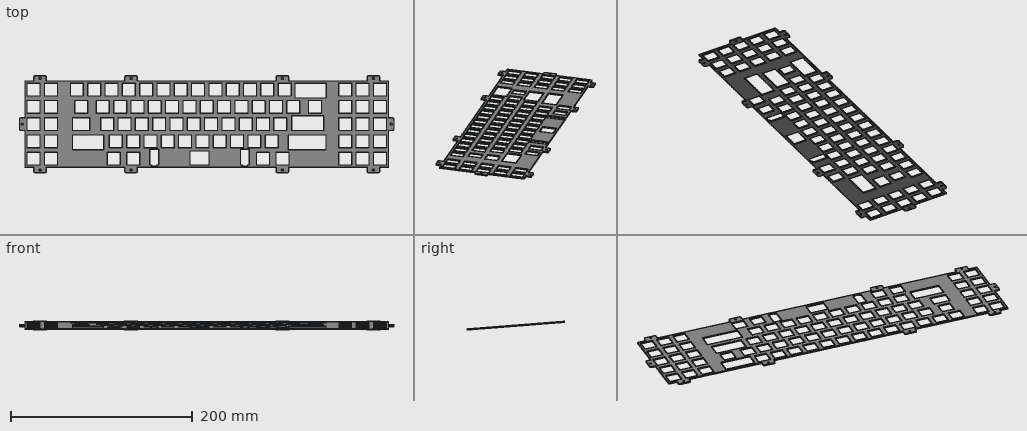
import cadquery as cq

GRID_COLUMNS = 21
GRID_ROWS = 5
TOTAL_WIDTH = 412
PLATE_WIDTH = 400.0
PITCH = PLATE_WIDTH / GRID_COLUMNS
PLATE_DEPTH = GRID_ROWS * PITCH
THICKNESS = 1.5
TILT = 4.5

KEY_OPENING = 14.0

TAB_REACH = (TOTAL_WIDTH - PLATE_WIDTH) / 2
TAB_WIDTH = 14.0
TAB_CORNER = 1.5
TAB_X = (-183.5, -83.2, 83.2, 183.5)
SCREW_HOLE = 2.0
SCREW_OFFSET = 3.0

BLOCK_START = 2.5
BLOCK_ROWS = [
    [1] * 13 + [2],
    [1.5] + [1] * 12 + [1.5],
    [1.75] + [1] * 11 + [2.25],
    [2.25] + [1] * 10 + [2.75],
    [2.125, 1, 1.25, 6.25, 1.25, 1, 2.125],
]
BLANKS = [(4, 0), (4, 6)]
SPACE_BAR = (4, 3)

SIDE_COLUMNS = (0.5, 1.5, 18.5, 19.5, 20.5)

STABILIZER_RELIEF = 2.0
SPACE_RELIEF = 1.2
SPACE_SHIFT = 1.5
LARGE_OPENINGS = {
    (0, 13): (34.0, 0, 0, STABILIZER_RELIEF),
    (2, 0): (18.5, -2.5, 0, 0),
    (2, 12): (35.0, -1.0, STABILIZER_RELIEF, 0),
    (3, 0): (34.0, 0.5, 0, STABILIZER_RELIEF),
    (3, 11): (41.0, 3.5, 0, STABILIZER_RELIEF),
    SPACE_BAR: (20.5, SPACE_SHIFT, SPACE_RELIEF, 0),
}

SLOT_SPREAD = 50.0
SLOT_WIDTH = 9.5
SLOT_REAR = 10.5
SLOT_FRONT = 7.0
TONGUE_WIDTH = 5.5
TONGUE_REACH = 1.2


def column_x(column):
    """X of a place given in key spaces from the left edge."""
    return column * PITCH - PLATE_WIDTH / 2


def row_y(row):
    """Y of the centre of a key row, row 0 at the rear."""
    return PLATE_DEPTH / 2 - (row + 0.5) * PITCH


def block(x, y, width, depth):
    """Box through the full plate thickness, centred on x, y."""
    return cq.Workplane("XY").box(width, depth, THICKNESS).translate((x, y, 0))


def screw_tab(x, y, direction_angle):
    """Rounded tab on the plate edge at x, y; it points along +Y turned about Z by direction_angle."""
    hole = cq.Workplane("XY").center(0, SCREW_OFFSET).circle(SCREW_HOLE / 2).extrude(THICKNESS, both=True)
    tab = block(0, TAB_REACH / 2, TAB_WIDTH, TAB_REACH)
    tab = tab.edges("|Z and >Y").fillet(TAB_CORNER).cut(hole)
    return tab.rotate((0, 0, 0), (0, 0, 1), direction_angle).translate((x, y, 0))


def side_openings():
    openings = []
    for row in range(GRID_ROWS):
        for column in SIDE_COLUMNS:
            openings.append(block(column_x(column), row_y(row), KEY_OPENING, KEY_OPENING))
    return openings


def key_center_x(row, place):
    """X of the centre of a key in the key block."""
    widths = BLOCK_ROWS[row]
    return column_x(BLOCK_START + sum(widths[:place]) + widths[place] / 2)


def block_openings():
    openings = []
    for row, widths in enumerate(BLOCK_ROWS):
        for place in range(len(widths)):
            if (row, place) in BLANKS:
                continue
            width, shift, rear, front = LARGE_OPENINGS.get((row, place), (KEY_OPENING, 0, 0, 0))
            x = key_center_x(row, place) + shift
            y = row_y(row) + (rear - front) / 2
            openings.append(block(x, y, width, KEY_OPENING + rear + front))
    return openings


def stabilizer_slots():
    slots = []
    y = row_y(SPACE_BAR[0])
    tongue_front = SLOT_FRONT + TONGUE_REACH
    for side in (-1, 1):
        x = key_center_x(*SPACE_BAR) + SPACE_SHIFT + side * SLOT_SPREAD
        slots.append(block(x, y + (SLOT_REAR - SLOT_FRONT) / 2, SLOT_WIDTH, SLOT_REAR + SLOT_FRONT))
        slots.append(block(x, y - tongue_front / 2, TONGUE_WIDTH, tongue_front))
    return slots


plate = block(0, 0, PLATE_WIDTH, PLATE_DEPTH)
for tab_x in TAB_X:
    plate = plate.union(screw_tab(tab_x, PLATE_DEPTH / 2, 0))
    plate = plate.union(screw_tab(tab_x, -PLATE_DEPTH / 2, 180))
plate = plate.union(screw_tab(-PLATE_WIDTH / 2, 0, 90))
plate = plate.union(screw_tab(PLATE_WIDTH / 2, 0, -90))

for opening in side_openings() + block_openings() + stabilizer_slots():
    plate = plate.cut(opening)

result = plate.rotate((0, 0, 0), (1, 0, 0), TILT)